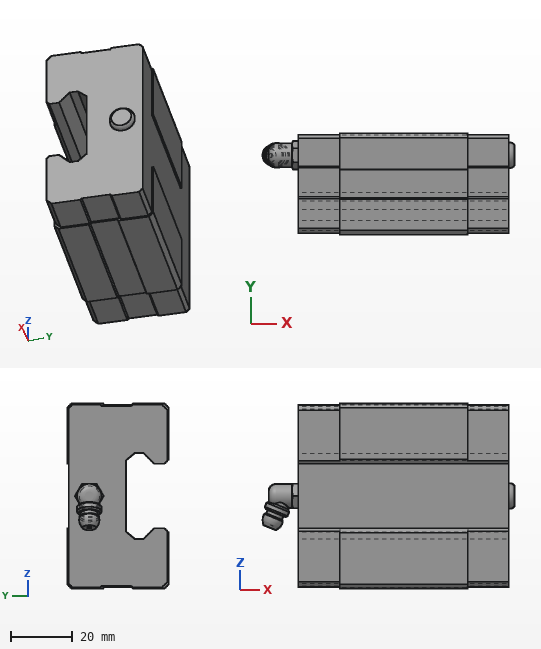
import cadquery as cq
import math


body_height = 33.0
body_width = 60.0
steel_length = 41.4
cap_length = 13.4
cap_inset = 0.5
half_width = body_width / 2
half_steel = steel_length / 2
end_x = half_steel + cap_length

steel_chamfer = 1.5
cap_back_chamfer = 1.2
cap_front_chamfer = 1.7

channel_depth = 0.5
channel_wall_run = 0.5
steel_channel = (11.55, 21.35)
steel_channel_back_run = 0.25
cap_channel = (11.8, 22.2)

slot_half_gap = 10.4
slot_depth = 13.9
slot_half_floor = 11.5
pocket_half_width = 13.9
pocket_near_y = 8.25
pocket_far_y = 11.0
lip_flat_end_y = pocket_near_y - (pocket_half_width - slot_half_gap)
lip_chamfer = 1.5

port_y = 25.8

plug_length = 1.8
plug_base_diameter = 8.3
plug_tip_diameter = 6.6
plug_bulge = 0.3

hex_across_flats = 8.0
hex_length = 2.05
hex_chamfer_angle = 30.0
elbow_diameter = 7.85
elbow_length = 9.6
elbow_round = 2.45

nipple_offset = 5.05
nipple_tilt = 22.5
stem_radius = 6.65 / 2
collar_radius = 8.0 / 2
collar_end_radius = 3.45
neck_radius = 5.5 / 2
head_start_radius = 3.0
head_shoulder_radius = 3.25
head_seam_radius = 3.05
tip_radius = 2.2
collar_start = 3.3
collar_full = 4.0
collar_taper = 5.4
collar_end = 6.0
head_start = 7.2
head_full = 7.6
head_seam = 9.7
nipple_length = 11.1
head_bulge = 0.175
nose_bulge = 0.05
grease_hole_diameter = 1.3
grease_hole_depth = 1.0


def prism(half_outline, x_start, length):
    """Extrude along X the (y, z) outline mirrored about Z = 0."""
    mirrored = [(y, -z) for y, z in reversed(half_outline)]
    plane = cq.Workplane("YZ", origin=(x_start, 0, 0))
    return plane.polyline(half_outline + mirrored).close().extrude(length)


def section(inset, front_chamfer, back_chamfer, channel, channel_back_run):
    """Upper half of a carriage section, from the slot floor round to the back face."""
    front = inset
    back = body_height - inset
    side = half_width - inset
    channel_front, channel_back = channel
    channel_side = side - channel_depth
    lip_edge = slot_half_gap + lip_chamfer - inset
    return [
        (slot_depth, slot_half_floor),
        (pocket_far_y, pocket_half_width),
        (pocket_near_y, pocket_half_width),
        (lip_flat_end_y, slot_half_gap),
        (lip_chamfer, slot_half_gap),
        (front, lip_edge),
        (front, side - front_chamfer),
        (front + front_chamfer, side),
        (channel_front, side),
        (channel_front + channel_wall_run, channel_side),
        (channel_back - channel_back_run, channel_side),
        (channel_back, side),
        (back - back_chamfer, side),
        (back, side - back_chamfer),
    ]


def make_carriage():
    steel_outline = section(0, steel_chamfer, steel_chamfer, steel_channel, steel_channel_back_run)
    steel_outline += [
        (body_height, slot_half_gap),
        (body_height - cap_inset, slot_half_gap),
    ]
    cap_outline = section(cap_inset, cap_front_chamfer, cap_back_chamfer, cap_channel, channel_wall_run)
    steel = prism(steel_outline, -half_steel, steel_length)
    left_cap = prism(cap_outline, -end_x, cap_length)
    right_cap = prism(cap_outline, half_steel, cap_length)
    return steel.union(left_cap).union(right_cap)


def make_plug():
    plug_base_radius = plug_base_diameter / 2
    plug_tip_radius = plug_tip_diameter / 2
    return (
        cq.Workplane("XY", origin=(end_x, port_y, 0))
        .lineTo(0, plug_base_radius)
        .sagittaArc((plug_length, plug_tip_radius), plug_bulge)
        .lineTo(plug_length, 0)
        .close()
        .revolve(360, (0, 0, 0), (1, 0, 0))
    )


def make_elbow():
    corner_diameter = hex_across_flats / math.cos(math.pi / 6)
    base = cq.Workplane("YZ", origin=(-end_x, port_y, 0))
    hexagon = base.polygon(6, corner_diameter).extrude(-hex_length)
    bevel_radial = (corner_diameter - elbow_diameter) / 2
    bevel_axial = bevel_radial * math.tan(math.radians(hex_chamfer_angle))
    corner_trim = (
        cq.Workplane("XY", origin=(-end_x, port_y, 0))
        .lineTo(0, corner_diameter / 2)
        .lineTo(bevel_axial - hex_length, corner_diameter / 2)
        .lineTo(-hex_length, elbow_diameter / 2)
        .lineTo(-hex_length, 0)
        .close()
        .revolve(360, (0, 0, 0), (1, 0, 0))
    )
    barrel = base.circle(elbow_diameter / 2).extrude(-elbow_length)
    barrel = barrel.faces("<X").edges().fillet(elbow_round)
    return hexagon.intersect(corner_trim).union(barrel)


def make_nipple():
    tilt = math.radians(nipple_tilt)
    axis = cq.Plane(
        origin=(-end_x - nipple_offset, port_y, 0),
        xDir=(math.cos(tilt), 0, -math.sin(tilt)),
        normal=(0, 1, 0),
    )
    profile = (
        cq.Workplane(axis)
        .lineTo(stem_radius, 0)
        .lineTo(stem_radius, collar_start)
        .lineTo(collar_radius, collar_full)
        .lineTo(collar_radius, collar_taper)
        .lineTo(collar_end_radius, collar_end)
        .lineTo(neck_radius, collar_end)
        .lineTo(neck_radius, head_start)
        .lineTo(head_start_radius, head_start)
        .lineTo(head_shoulder_radius, head_full)
        .sagittaArc((head_seam_radius, head_seam), -head_bulge)
        .sagittaArc((tip_radius, nipple_length), -nose_bulge)
        .lineTo(0, nipple_length)
        .close()
    )
    nipple = profile.revolve(360, (0, 0, 0), (0, 1, 0))
    hole = (
        cq.Workplane(axis)
        .moveTo(0, nipple_length - grease_hole_depth)
        .lineTo(grease_hole_diameter / 2, nipple_length - grease_hole_depth)
        .lineTo(grease_hole_diameter / 2, nipple_length)
        .lineTo(0, nipple_length)
        .close()
        .revolve(360, (0, 0, 0), (0, 1, 0))
    )
    return nipple.cut(hole)


result = make_carriage().union(make_plug()).union(make_elbow()).union(make_nipple())